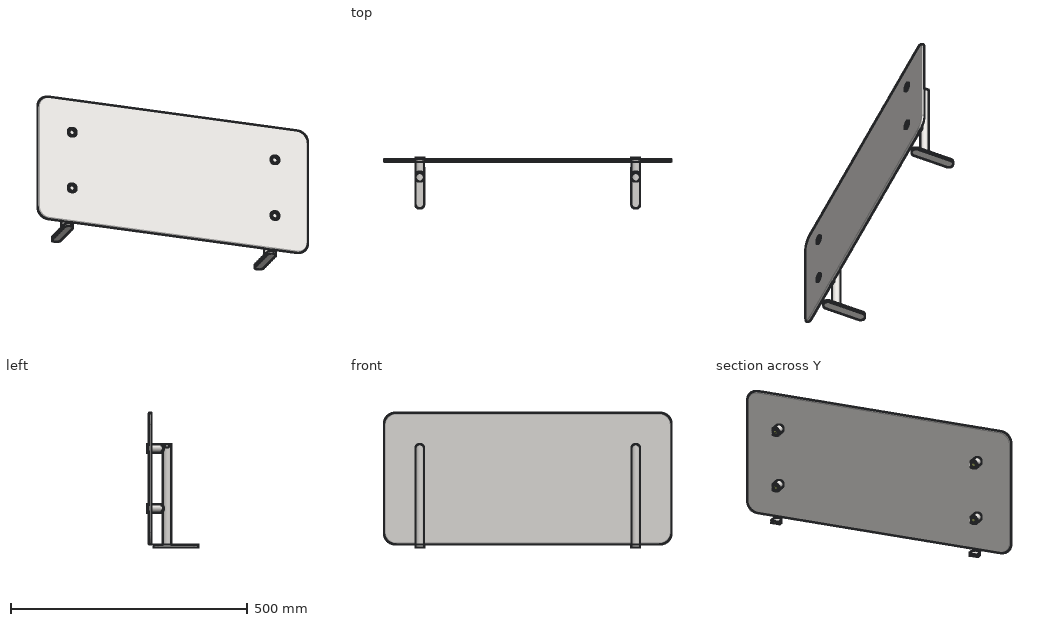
import cadquery as cq

PANEL_WIDTH = 609.6
PANEL_HEIGHT = 279.4
PANEL_THICKNESS = 6.0
PANEL_CORNER_RADIUS = 25.4

LEG_INSET = 76.2
ROD_DIAMETER = 18.5
BASE_WIDTH = 19.05
CAP_DIAMETER = 19.05
BASE_LENGTH = 95.25
BASE_THICKNESS = 6.35
POST_TOP = 219.0
POST_FROM_BASE_BACK = 29.2
BASE_BACK_GAP = 3.635

STANDOFF_SPACING = 127.0
CAP_THICKNESS = 2.175
WASHER_THICKNESS = 1.0
NECK_DIAMETER = 12.7
NECK_LENGTH = 3.0

PANEL_EDGE_RADIUS = PANEL_THICKNESS / 2
PANEL_CENTER_Z = BASE_THICKNESS + PANEL_HEIGHT / 2
ROD_RADIUS = ROD_DIAMETER / 2
CAP_FRONT = PANEL_THICKNESS + WASHER_THICKNESS
CAP_BACK = CAP_FRONT + CAP_THICKNESS
BASE_BACK = -BASE_BACK_GAP
POST_Y = BASE_BACK - POST_FROM_BASE_BACK
UPPER_STANDOFF_Z = POST_TOP - ROD_RADIUS
STANDOFF_HEIGHTS = (UPPER_STANDOFF_Z, UPPER_STANDOFF_Z - STANDOFF_SPACING)
LEG_X = PANEL_WIDTH / 2 - LEG_INSET


def rod_along_y(x, z, diameter, y_front, y_back):
    """Round rod parallel to Y between two Y positions."""
    return (
        cq.Workplane("XZ", origin=(x, y_back, z))
        .circle(diameter / 2)
        .extrude(y_back - y_front)
    )


def post_cylinder(x, radius):
    """Upright cylinder on the post axis, from the base to the post top."""
    return (
        cq.Workplane("XY", origin=(x, POST_Y, BASE_THICKNESS))
        .circle(radius)
        .extrude(POST_TOP - BASE_THICKNESS)
    )


def make_panel():
    """Upright panel with round corners and a half-round rim all the way around."""
    core = (
        cq.Workplane("XZ", origin=(0, PANEL_THICKNESS, PANEL_CENTER_Z))
        .rect(PANEL_WIDTH - PANEL_THICKNESS, PANEL_HEIGHT - PANEL_THICKNESS)
        .extrude(PANEL_THICKNESS)
        .edges("|Y")
        .fillet(PANEL_CORNER_RADIUS - PANEL_EDGE_RADIUS)
    )
    rim_path = core.faces("<Y").wires().first()
    rim_start_x = PANEL_WIDTH / 2 - PANEL_EDGE_RADIUS
    rim = (
        cq.Workplane("XY", origin=(rim_start_x, 0, PANEL_CENTER_Z))
        .threePointArc((PANEL_EDGE_RADIUS, PANEL_EDGE_RADIUS), (0, PANEL_THICKNESS))
        .close()
        .sweep(rim_path)
    )
    return core.union(rim)


def make_base(x):
    """Flat foot with fully round ends."""
    return (
        cq.Workplane("XY", origin=(x, BASE_BACK - BASE_LENGTH / 2, 0))
        .slot2D(BASE_LENGTH, BASE_WIDTH, 90)
        .extrude(BASE_THICKNESS)
    )


def make_post(x):
    """Round post whose top is rounded over along Y."""
    round_top = (
        cq.Workplane("XZ", origin=(x, POST_Y + ROD_RADIUS, 0))
        .moveTo(-ROD_RADIUS, BASE_THICKNESS)
        .lineTo(ROD_RADIUS, BASE_THICKNESS)
        .lineTo(ROD_RADIUS, UPPER_STANDOFF_Z)
        .threePointArc((0, POST_TOP), (-ROD_RADIUS, UPPER_STANDOFF_Z))
        .close()
        .extrude(ROD_DIAMETER)
    )
    return post_cylinder(x, ROD_RADIUS).intersect(round_top)


def make_standoff(x, z):
    """Standoff saddled around the post, its narrower neck, and the washer and cap behind the panel."""
    barrel = rod_along_y(x, z, ROD_DIAMETER, POST_Y, 0)
    barrel = barrel.cut(post_cylinder(x, ROD_RADIUS + NECK_LENGTH))
    neck = rod_along_y(x, z, NECK_DIAMETER, POST_Y, 0)
    cap = rod_along_y(x, z, CAP_DIAMETER, CAP_FRONT, CAP_BACK)
    washer = rod_along_y(x, z, NECK_DIAMETER, PANEL_THICKNESS, CAP_FRONT)
    return barrel.union(neck).union(washer).union(cap)


result = make_panel()
for leg_x in (-LEG_X, LEG_X):
    result = result.union(make_base(leg_x)).union(make_post(leg_x))
    for standoff_z in STANDOFF_HEIGHTS:
        result = result.union(make_standoff(leg_x, standoff_z))